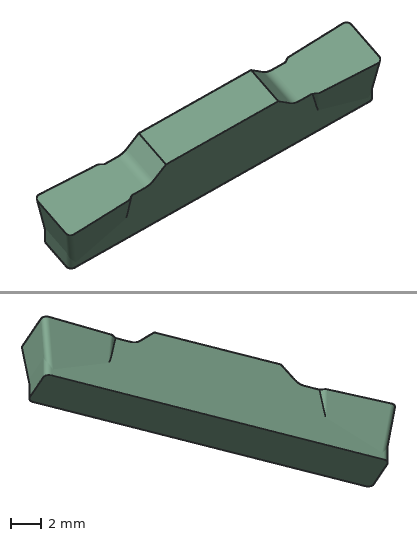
import cadquery as cq
import math

length = 25.45
height = 5.8
head_width = 4.07

body_width = 3.15
body_end_inset = 0.35
seat_drop = 1.3
raised_length = 9.1
ramp_blend_radius = 1.02
corner_radius = 0.4

side_relief_angle = 6
front_relief_angle = 7
head_side_length = 5.05
head_rear_width = 3.61
head_length = 5.4
head_rear_radius = 0.35

seat_height = height - seat_drop


def make_body():
    """Bar with 45 degree ramps up to the raised block."""
    half_length = length / 2 - body_end_inset
    half_raised = raised_length / 2
    ramp_foot = half_raised + seat_drop
    outline = [
        (-half_length, 0),
        (half_length, 0),
        (half_length, seat_height),
        (ramp_foot, seat_height),
        (half_raised, height),
        (-half_raised, height),
        (-ramp_foot, seat_height),
        (-half_length, seat_height),
    ]
    bar = cq.Workplane("YZ").polyline(outline).close().extrude(body_width / 2, both=True)
    bar = bar.edges("|Z").fillet(corner_radius)
    for foot in (-ramp_foot, ramp_foot):
        foot_edge = cq.selectors.NearestToPointSelector((0, foot, seat_height))
        bar = bar.edges("|X").edges(foot_edge).fillet(ramp_blend_radius)
    return bar


def make_head():
    """Head at the -Y end, narrowing toward its base and toward the bar."""
    front = -length / 2
    side_end = front + head_side_length
    front_half = head_width / 2
    rear_half = head_rear_width / 2
    slant = (head_length - head_side_length) / (rear_half - body_width / 2)
    apex = side_end + slant * rear_half
    outline = [
        (-front_half, front),
        (front_half, front),
        (rear_half, side_end),
        (0, apex),
        (-rear_half, side_end),
    ]
    head = (
        cq.Workplane("XY", origin=(0, 0, seat_height))
        .polyline(outline)
        .close()
        .extrude(-seat_height, taper=side_relief_angle)
    )
    front_base = front + seat_height * math.tan(math.radians(front_relief_angle))
    front_wedge = (
        cq.Workplane("YZ")
        .polyline([(front, seat_height), (front_base, 0), (front, 0)])
        .close()
        .extrude(front_half, both=True)
    )
    head = head.cut(front_wedge)
    mid_height = seat_height / 2
    for side in (-1, 1):
        front_edge = cq.selectors.NearestToPointSelector((side * front_half, front, mid_height))
        head = head.edges("not #Z").edges(front_edge).fillet(corner_radius)
        rear_edge = cq.selectors.NearestToPointSelector((side * rear_half, side_end, mid_height))
        head = head.edges("not #Z").edges(rear_edge).fillet(head_rear_radius)
    return head


head = make_head()
opposite_head = head.rotate((0, 0, 0), (0, 0, 1), 180)
result = make_body().union(head).union(opposite_head).clean()